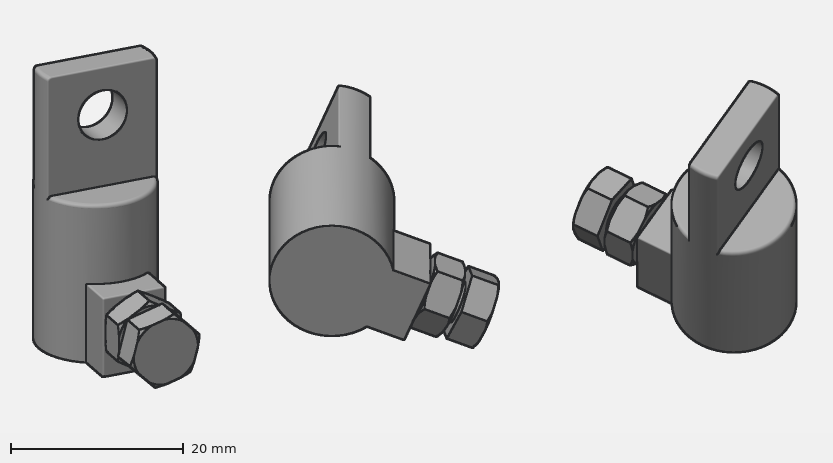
import cadquery as cq
import math

HEIGHT = 35.0
BARREL_DIAMETER = 14.5
BARREL_RADIUS = BARREL_DIAMETER / 2
SHOULDER_Z = 20.0
SHOULDER_FILLET = 0.5
TANG_THICKNESS = 4.0
EYE_DIAMETER = 6.2
EYE_Z = 29.0
BOSS_WIDTH = 8.0
BOSS_HEIGHT = 10.0
BOSS_END_X = 10.75
EDGE_FILLET = 0.2

SCREW_Z = 6.0
SHANK_DIAMETER = 5.0
SCREW_TIP_X = BARREL_RADIUS
SCREW_END_X = 19.25
HEAD_LENGTH = 3.55
HEAD_START_X = SCREW_END_X - HEAD_LENGTH
HEAD_TURN = -15.0
NUT_START_X = 11.27
NUT_LENGTH = 3.75
HEX_ACROSS_FLATS = 8.0
HEX_ACROSS_CORNERS = HEX_ACROSS_FLATS / math.cos(math.radians(30))
CHAMFER_CIRCLE = 8.2
CHAMFER_ANGLE = 30.0


def rod(diameter, start_x, length):
    """Round bar along the screw axis."""
    plane = cq.Workplane("YZ", origin=(start_x, 0, SCREW_Z))
    return plane.circle(diameter / 2).extrude(length)


def hexagon(start_x, length, turn, chamfer_start):
    """Hexagonal bar, chamfered at its +X end and optionally at its start; turned from flats facing Y."""
    bar = (
        cq.Workplane("YZ", origin=(start_x, 0, SCREW_Z))
        .polygon(6, HEX_ACROSS_CORNERS)
        .extrude(length)
        .rotate((0, 0, SCREW_Z), (1, 0, SCREW_Z), 90 + turn)
    )
    corner_radius = HEX_ACROSS_CORNERS / 2
    end_radius = CHAMFER_CIRCLE / 2
    chamfer_length = (corner_radius - end_radius) * math.tan(math.radians(CHAMFER_ANGLE))
    start_radius = end_radius if chamfer_start else corner_radius
    envelope = (
        cq.Workplane("XY")
        .moveTo(0, 0)
        .lineTo(0, start_radius)
        .lineTo(chamfer_length, corner_radius)
        .lineTo(length - chamfer_length, corner_radius)
        .lineTo(length, end_radius)
        .lineTo(length, 0)
        .close()
        .revolve(360, (0, 0, 0), (1, 0, 0))
        .translate((start_x, 0, SCREW_Z))
    )
    return bar.intersect(envelope)


def make_barrel():
    """Upright cylinder with a rounded shoulder."""
    barrel = cq.Workplane("XY").circle(BARREL_RADIUS).extrude(SHOULDER_Z)
    return barrel.faces(">Z").edges().fillet(SHOULDER_FILLET)


def make_tang():
    """Flat slab with the barrel's round sides, rising from inside the shoulder fillet."""
    base_z = SHOULDER_Z - SHOULDER_FILLET
    column = cq.Workplane("XY", origin=(0, 0, base_z)).circle(BARREL_RADIUS).extrude(HEIGHT - base_z)
    column = column.faces(">Z").edges().fillet(SHOULDER_FILLET)
    slab = cq.Workplane("XY", origin=(0, 0, base_z)).box(
        TANG_THICKNESS, BARREL_DIAMETER, HEIGHT - base_z, centered=(True, True, False)
    )
    tang = column.intersect(slab)
    return tang.faces("<X or >X").edges("not <Z").fillet(EDGE_FILLET)


def make_boss():
    """Square block from the barrel axis to its rounded outer face."""
    boss = cq.Workplane("XY").box(BOSS_END_X, BOSS_WIDTH, BOSS_HEIGHT, centered=(False, True, False))
    return boss.edges(">X or (>Z and |X)").fillet(EDGE_FILLET)


def make_housing():
    eye = (
        cq.Workplane("YZ", origin=(-TANG_THICKNESS / 2, 0, EYE_Z))
        .circle(EYE_DIAMETER / 2)
        .extrude(TANG_THICKNESS)
    )
    screw_hole = rod(SHANK_DIAMETER, SCREW_TIP_X, BOSS_END_X - SCREW_TIP_X)
    return make_barrel().union(make_tang()).union(make_boss()).cut(eye).cut(screw_hole)


def make_nut():
    blank = hexagon(NUT_START_X, NUT_LENGTH, turn=0, chamfer_start=True)
    return blank.cut(rod(SHANK_DIAMETER, NUT_START_X, NUT_LENGTH))


def make_screw():
    head = hexagon(HEAD_START_X, HEAD_LENGTH, turn=HEAD_TURN, chamfer_start=False)
    shank = rod(SHANK_DIAMETER, SCREW_TIP_X, HEAD_START_X - SCREW_TIP_X)
    return head.union(shank)


housing = make_housing()
nut = make_nut()
screw = make_screw()

result = cq.Compound.makeCompound([housing.solids().val(), nut.solids().val(), screw.solids().val()])